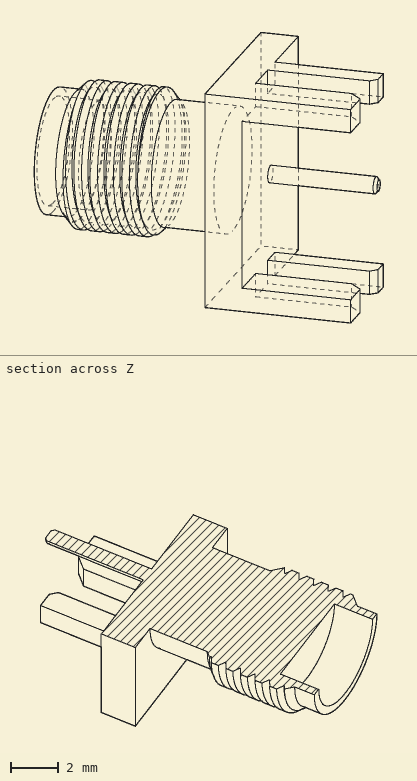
import cadquery as cq
import math

total_length = 14.28
plate_front = 7.88
plate_thickness = 1.64
plate_width = 7.93
plate_height = 9.52
plate_back = plate_front + plate_thickness
prong_length = total_length - plate_back

barrel_radius = 2.7
bore_radius = 2.31
bore_depth = 1.83

collar_start = 0.94
collar_end = 5.14
collar_radius = 3.17
collar_chamfer = collar_radius - barrel_radius

thread_pitch = 0.7
thread_turns = 6
thread_depth = 0.31
thread_half_angle = 30.0
top_groove_x = 1.54

prong_height = 1.04
wide_prong_width = 1.9
wide_prong_chamfer = 0.54
narrow_prong_width = 1.03
narrow_prong_chamfer = 0.29
pin_radius = 0.37
pin_chamfer = 0.13


def cylinder_along_x(start, length, radius):
    return cq.Workplane("YZ", origin=(start, 0, 0)).circle(radius).extrude(length)


def prong(y_min, width, chamfered_edge, chamfer, z_min):
    """Bar behind the plate, with one vertical corner of its tip cut off."""
    bar = cq.Workplane("XY", origin=(plate_back, y_min, z_min)).box(
        prong_length, width, prong_height, centered=False
    )
    return bar.edges(chamfered_edge).chamfer(chamfer)


def thread_groove_turn(start_x):
    """Cutter for one turn of a right-hand V groove, starting at the top (+Z) at start_x."""
    root_radius = collar_radius - thread_depth
    clearance = 0.07
    mouth_radius = collar_radius + clearance
    mouth_half_width = (thread_depth + clearance) * math.tan(math.radians(thread_half_angle))

    helix = cq.Wire.makeHelix(thread_pitch, thread_pitch, root_radius)
    cutter = (
        cq.Workplane("XZ")
        .moveTo(root_radius, 0)
        .lineTo(mouth_radius, mouth_half_width)
        .lineTo(mouth_radius, -mouth_half_width)
        .close()
        .sweep(cq.Workplane(obj=helix), isFrenet=True)
    )
    return (
        cutter.rotate((0, 0, 0), (0, 1, 0), 90)
        .rotate((0, 0, 0), (1, 0, 0), 180)
        .translate((start_x, 0, 0))
    )


collar = cylinder_along_x(collar_start, collar_end - collar_start, collar_radius)
collar = collar.edges().chamfer(collar_chamfer)
for turn in range(thread_turns):
    collar = collar.cut(thread_groove_turn(top_groove_x + (turn - 1) * thread_pitch))

plate = cq.Workplane("XY").box(plate_thickness, plate_width, plate_height)
plate = plate.translate((plate_front + plate_thickness / 2, 0, 0))
barrel = cylinder_along_x(0, plate_front, barrel_radius)
bore = cylinder_along_x(0, bore_depth, bore_radius)
result = plate.union(barrel).union(collar).cut(bore)

for prong_bottom in (-plate_height / 2, plate_height / 2 - prong_height):
    wide_prong = prong(
        -plate_width / 2, wide_prong_width, "|Z and >X and >Y", wide_prong_chamfer, prong_bottom
    )
    narrow_prong = prong(
        -pin_radius, narrow_prong_width, "|Z and >X and <Y", narrow_prong_chamfer, prong_bottom
    )
    result = result.union(wide_prong).union(narrow_prong)

pin = cylinder_along_x(plate_back, prong_length, pin_radius).faces(">X").chamfer(pin_chamfer)
result = result.union(pin)